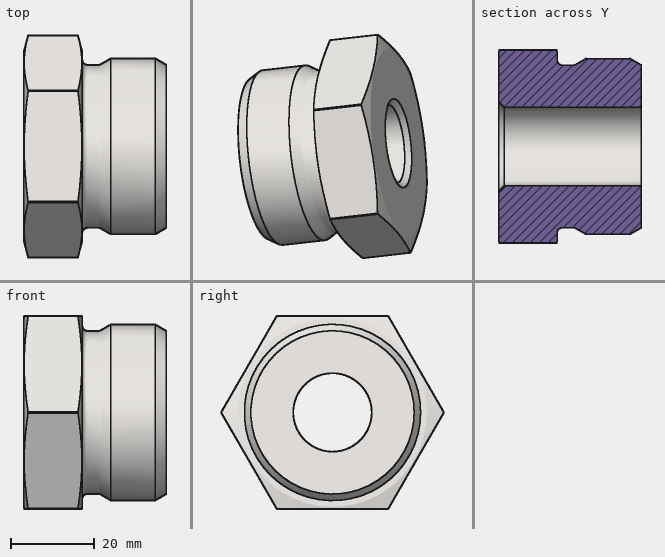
import cadquery as cq
import math

total_length = 34.0
head_length = 14.0
across_flats = 46.0
across_corners = 52.95
sharp_corner_diameter = across_flats / math.cos(math.radians(30))

head_face_diameter = 45.0
head_chamfer_angle = math.radians(15)

spigot_diameter = 42.0
spigot_start = 20.8
spigot_end_diameter = 38.9
taper_angle = math.radians(30)

neck_diameter = 38.9
neck_radius = 1.2

bore_diameter = 18.64
bore_mouth_diameter = 21.3
bore_chamfer_angle = math.radians(45)


def make_head():
    """Hexagon with corners along Y, its outer edges turned to a shallow cone."""
    hexagon = cq.Workplane("YZ").polygon(6, sharp_corner_diameter).extrude(head_length)
    face_r = head_face_diameter / 2
    corner_r = across_corners / 2
    chamfer_length = (corner_r - face_r) * math.tan(head_chamfer_angle)
    turned_envelope = (
        cq.Workplane("XY")
        .moveTo(0, 0)
        .lineTo(0, face_r)
        .lineTo(chamfer_length, corner_r)
        .lineTo(head_length - chamfer_length, corner_r)
        .lineTo(head_length, face_r)
        .lineTo(head_length, 0)
        .close()
        .revolve(360, (0, 0, 0), (1, 0, 0))
    )
    return hexagon.intersect(turned_envelope)


def make_spigot():
    """Filleted neck, conical shoulder, plain cylinder and tapered end."""
    neck_r = neck_diameter / 2
    spigot_r = spigot_diameter / 2
    end_r = spigot_end_diameter / 2
    fillet_centre_r = neck_r + neck_radius

    head_fillet_end = head_length + neck_radius
    head_fillet_mid = (
        head_fillet_end - neck_radius * math.sin(math.radians(45)),
        fillet_centre_r - neck_radius * math.cos(math.radians(45)),
    )

    cone_start_r = fillet_centre_r - neck_radius * math.cos(taper_angle)
    cone_start = spigot_start - (spigot_r - cone_start_r) / math.tan(taper_angle)
    neck_end = cone_start - neck_radius * math.sin(taper_angle)
    cone_fillet_mid = (
        neck_end + neck_radius * math.sin(taper_angle / 2),
        fillet_centre_r - neck_radius * math.cos(taper_angle / 2),
    )

    end_taper_start = total_length - (spigot_r - end_r) / math.tan(taper_angle)

    return (
        cq.Workplane("XY")
        .moveTo(head_length, 0)
        .lineTo(head_length, fillet_centre_r)
        .threePointArc(head_fillet_mid, (head_fillet_end, neck_r))
        .lineTo(neck_end, neck_r)
        .threePointArc(cone_fillet_mid, (cone_start, cone_start_r))
        .lineTo(spigot_start, spigot_r)
        .lineTo(end_taper_start, spigot_r)
        .lineTo(total_length, end_r)
        .lineTo(total_length, 0)
        .close()
        .revolve(360, (0, 0, 0), (1, 0, 0))
    )


def make_bore():
    """Through bore with a chamfered mouth on the head face."""
    bore_r = bore_diameter / 2
    mouth_r = bore_mouth_diameter / 2
    chamfer_depth = (mouth_r - bore_r) / math.tan(bore_chamfer_angle)
    return (
        cq.Workplane("XY")
        .moveTo(0, 0)
        .lineTo(0, mouth_r)
        .lineTo(chamfer_depth, bore_r)
        .lineTo(total_length, bore_r)
        .lineTo(total_length, 0)
        .close()
        .revolve(360, (0, 0, 0), (1, 0, 0))
    )


result = make_head().union(make_spigot()).cut(make_bore())